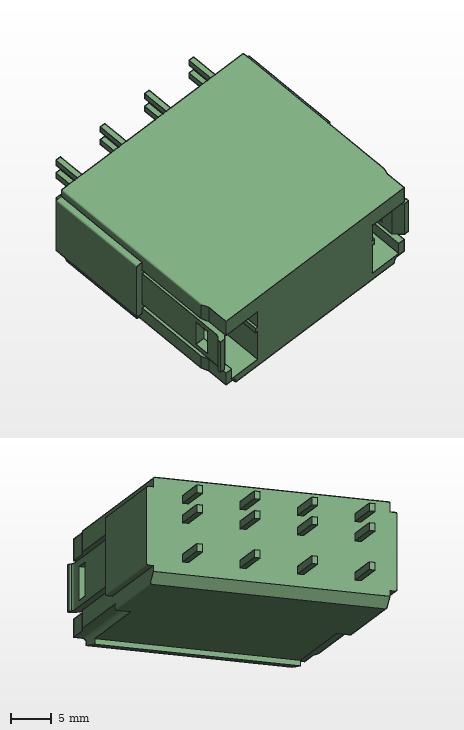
import cadquery as cq
import math


length = 29.2
half_width = 15.72
height = 13.55
edge_round = 0.25
rear_chamfer_length = 1.15
rear_chamfer_height = 1.35

relief_depth = 0.38
relief_ramp_start = 25.1
relief_ramp_end = 26.15

pad_length = 14.52
pad_thickness = 0.92
pad_bottom = 2.1
pad_top = 12.3

pin_length = 5.05
pin_width = 0.8
pin_height = 1.0
pin_pitch = 7.65
pin_columns = 4
row_pitch = 2.55
top_row = 11.05
pin_rows = (top_row, top_row - row_pitch, top_row - 3 * row_pitch)

plate_half_width = 13.65
undercut_start = 13.5
undercut_height = 0.82
undercut_round = 0.55
catch_start = 26.15
catch_drop = 0.72
catch_end_drop = 0.07

slot_bottom = 3.2
slot_top = 10.72
pocket_depth = 5.82
pocket_bottom = 1.2
wall = 1.35

rib_bottom = 6.75
rib_height = 0.92
rib_depth = 0.35

arm_bottom = 3.97
arm_top = 10.07
arm_end = 29.1
arm_root_overlap = 0.35
arm_end_face = 0.72
hook_rise = 0.48
hook_top_length = 0.48
hook_arc_start = 27.78
hook_arc_radius = 1.1
hook_arc_angle = math.radians(37)

window_start = 24.2
window_end = 26.25
window_bottom = 4.75
window_top = 9.15


def block(x_range, y_range, z_range):
    """Axis-aligned box given by its limits along each axis."""
    limits = (x_range, y_range, z_range)
    sizes = [end - start for start, end in limits]
    corner = tuple(start for start, end in limits)
    return cq.Workplane("XY").box(*sizes, centered=False).translate(corner)


def both_sides(shape):
    """The given -Y side shape together with its mirror image on the +Y side."""
    return shape.union(shape.mirror("XZ"))


def make_housing():
    """Box with rounded long edges, a chamfered rear bottom edge and relieved ends of its sides."""
    box = block((0, length), (-half_width, half_width), (0, height)).edges("|X").fillet(edge_round)
    chamfer = (
        cq.Workplane("XZ")
        .polyline([(0, 0), (rear_chamfer_length, 0), (0, rear_chamfer_height)])
        .close()
        .extrude(half_width, both=True)
    )
    relief = (
        cq.Workplane("XY")
        .moveTo(relief_ramp_start, -half_width)
        .lineTo(relief_ramp_end, -half_width + relief_depth)
        .lineTo(length, -half_width + relief_depth)
        .lineTo(length, -half_width)
        .close()
        .extrude(height)
    )
    return box.cut(chamfer).cut(both_sides(relief))


def make_pads():
    """Side pads with rounded long edges, joined through the housing."""
    half_span = half_width + pad_thickness
    pads = block((0, pad_length), (-half_span, half_span), (pad_bottom, pad_top))
    return pads.edges("|X").fillet(edge_round)


def make_undercut():
    """Strip below the side wall, with a concave round where it meets the bottom plate."""
    round_start = undercut_height - undercut_round
    mid_offset = undercut_round * (1 - math.sqrt(0.5))
    return (
        cq.Workplane("YZ", origin=(undercut_start, 0, 0))
        .moveTo(-half_width, 0)
        .lineTo(-plate_half_width, 0)
        .lineTo(-plate_half_width, round_start)
        .threePointArc(
            (-plate_half_width - mid_offset, undercut_height - mid_offset),
            (-plate_half_width - undercut_round, undercut_height),
        )
        .lineTo(-half_width, undercut_height)
        .close()
        .extrude(length - undercut_start)
    )


def make_catch():
    """Wedge under the bottom plate, as wide as the plate."""
    return (
        cq.Workplane("XZ")
        .moveTo(catch_start, undercut_height / 2)
        .lineTo(catch_start, -catch_drop)
        .lineTo(length, -catch_end_drop)
        .lineTo(length, undercut_height / 2)
        .close()
        .extrude(plate_half_width, both=True)
    )


def make_pocket():
    """Pocket behind the side wall, the slot into it and the rib left on its inner wall."""
    inner_y = -half_width + pocket_depth
    pocket = block((pad_length, length), (-half_width + wall, inner_y), (pocket_bottom, slot_top))
    slot = block((pad_length, length), (-half_width, inner_y), (slot_bottom, slot_top))
    rib = block(
        (pad_length, length), (inner_y - rib_depth, inner_y), (rib_bottom, rib_bottom + rib_height)
    )
    return pocket.union(slot).cut(rib)


def make_arm():
    """Spring arm flush with the side, flared outwards into a hook at its free end."""
    outer_y = -half_width
    inner_y = outer_y + wall
    hook_y = outer_y - hook_rise
    end_face_y = hook_y + arm_end_face

    def arc_point(angle):
        return (
            hook_arc_start + hook_arc_radius * math.sin(angle),
            outer_y - hook_arc_radius * (1 - math.cos(angle)),
        )

    arm = (
        cq.Workplane("XY", origin=(0, 0, arm_bottom))
        .moveTo(pad_length - arm_root_overlap, outer_y)
        .lineTo(hook_arc_start, outer_y)
        .threePointArc(arc_point(hook_arc_angle / 2), arc_point(hook_arc_angle))
        .lineTo(arm_end - hook_top_length, hook_y)
        .lineTo(arm_end, hook_y)
        .lineTo(arm_end, end_face_y)
        .lineTo(arm_end - (inner_y - end_face_y), inner_y)
        .lineTo(pad_length - arm_root_overlap, inner_y)
        .close()
        .extrude(arm_top - arm_bottom)
    )
    window = block((window_start, window_end), (outer_y, inner_y), (window_bottom, window_top))
    return arm.cut(window)


def make_pins():
    """Rectangular pins standing out of the rear face."""
    first_column = -pin_pitch * (pin_columns - 1) / 2
    centres = [
        (first_column + column * pin_pitch, row) for row in pin_rows for column in range(pin_columns)
    ]
    return (
        cq.Workplane("YZ")
        .pushPoints(centres)
        .rect(pin_width, pin_height)
        .extrude(-pin_length)
    )


result = (
    make_housing()
    .union(make_pads())
    .cut(both_sides(make_undercut()))
    .cut(both_sides(make_pocket()))
    .union(both_sides(make_arm()))
    .union(make_catch())
    .union(make_pins())
)